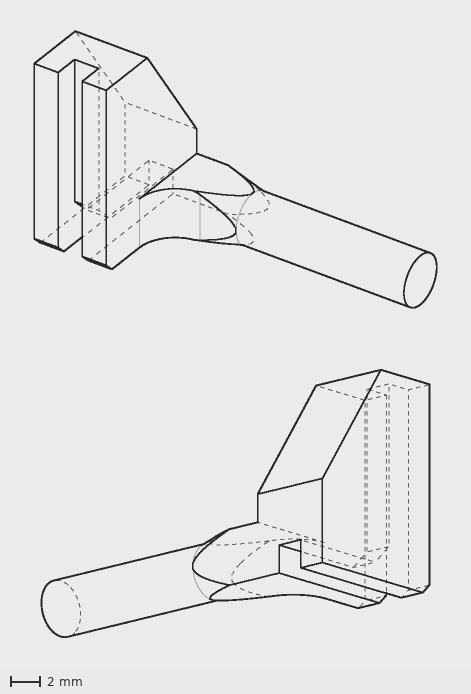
import cadquery as cq
import math

block_width = 6.0
block_depth = 11.0
block_height = 15.0
top_depth = 5.0
rear_wall_height = 6.0
toe_chamfer = 0.7

groove_width = 2.0
groove_depth = 2.0
groove_corner_chamfer = 1.4

arm_size = 4.0
shank_radius = arm_size / 2
shank_start = 12.0
overall_length = 26.0
root_fillet = 3.0
taper_start = 8.6

arm_y = block_depth - arm_size / 2
arm_z = arm_size / 2
arm_front = block_depth - arm_size


def side_profile(points, x_start, width):
    """Extrude a (y, z) outline along +X from x_start."""
    return cq.Workplane("YZ", origin=(x_start, 0, 0)).polyline(points).close().extrude(width)


def make_block():
    outline = [
        (toe_chamfer, 0),
        (block_depth, 0),
        (block_depth, rear_wall_height),
        (top_depth, block_height),
        (0, block_height),
        (0, toe_chamfer),
    ]
    return side_profile(outline, 0, block_width)


def make_groove():
    """L-shaped cutter with a sloped inner corner."""
    outline = [
        (0, 0),
        (block_depth, 0),
        (block_depth, groove_depth),
        (groove_depth + groove_corner_chamfer, groove_depth),
        (groove_depth, groove_depth + groove_corner_chamfer),
        (groove_depth, block_height),
        (0, block_height),
    ]
    return side_profile(outline, (block_width - groove_width) / 2, groove_width)


def make_arm_root():
    """Square bar with a concave fillet blending it into the block."""
    fillet_end = block_width + root_fillet
    arc_offset = root_fillet * (1 - math.sqrt(0.5))
    return (
        cq.Workplane("XY")
        .moveTo(block_width, block_depth)
        .lineTo(shank_start, block_depth)
        .lineTo(shank_start, arm_front)
        .lineTo(fillet_end, arm_front)
        .threePointArc(
            (block_width + arc_offset, arm_front - arc_offset),
            (block_width, arm_front - root_fillet),
        )
        .close()
        .extrude(arm_size)
    )


def make_taper_trim():
    """Ring around the arm axis whose conical bore rounds off the square corners."""
    corner_radius = shank_radius * math.sqrt(2)
    outer_radius = 2 * corner_radius
    return (
        cq.Workplane("XY", origin=(0, arm_y, arm_z))
        .moveTo(taper_start, corner_radius)
        .lineTo(shank_start, shank_radius)
        .lineTo(shank_start, outer_radius)
        .lineTo(taper_start, outer_radius)
        .close()
        .revolve(360, (0, 0, 0), (1, 0, 0))
    )


def make_shank():
    return (
        cq.Workplane("YZ", origin=(shank_start, arm_y, arm_z))
        .circle(shank_radius)
        .extrude(overall_length - shank_start)
    )


jaw = make_block().cut(make_groove())
arm = make_arm_root().cut(make_taper_trim()).union(make_shank())
result = jaw.union(arm)